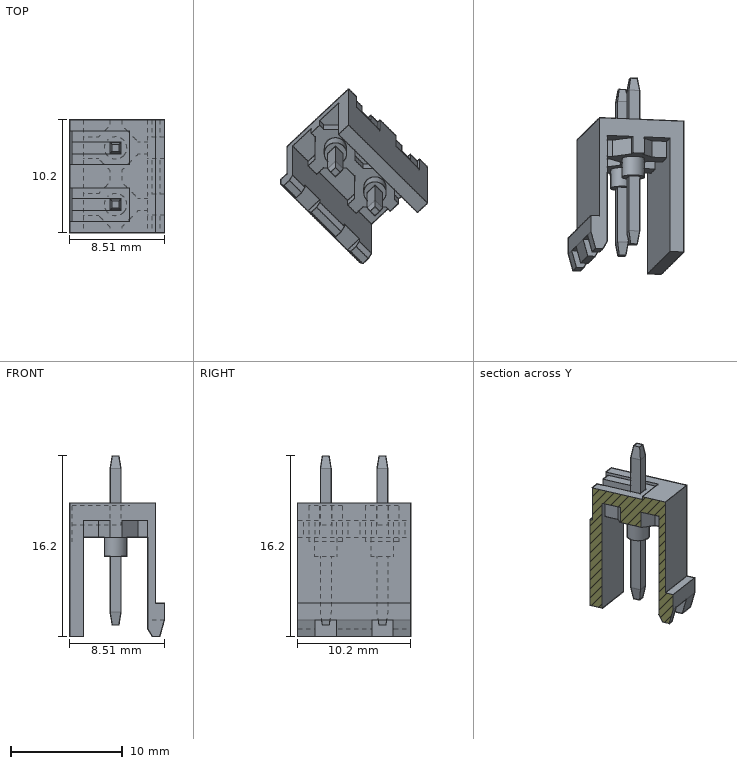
import cadquery as cq

length = 10.15
housing_height = 11.99
housing_width = 7.71
plain_wall = 1.26
latch_wall = 0.71
ceiling_z = 10.38

lip_overhang = 0.8
lip_top_z = 3.0
lip_taper_z = 1.5
lip_taper_run = 0.42
lead_in_width = 0.4
lead_in_height = 0.7
notch_width = 1.91

contact_pitch = length / 2
contact_ys = [length / 2 + side * contact_pitch / 2 for side in (-1, 1)]
pin_x = 4.11
pin_size = 0.99
pin_top_z = 16.2
pin_bottom_z = 1.04
pin_tip_size = 0.62
pin_taper = 1.15

collar_diameter = 2.01
collar_bottom_z = 7.2

support_bottom_z = 8.9
long_rib_width = 1.05
wide_rib_width = 1.95
narrow_rib_width = 1.1

pocket_width = 3.0
side_recess_depth = 0.23
top_recess_depth = 0.26
pocket_end_x = 5.35
pocket_bottom_z = 8.52
groove_width = 1.1
groove_floor_z = 10.01

latch_inner_x = housing_width - latch_wall
lip_x = housing_width + lip_overhang
pin_left_x = pin_x - pin_size / 2
pin_right_x = pin_x + pin_size / 2
long_rib_x = pin_left_x + long_rib_width / 2


def box(x_range, y_range, z_range):
    """Axis-aligned block between the given limits."""
    starts, ends = zip(x_range, y_range, z_range)
    sizes = [end - start for start, end in zip(starts, ends)]
    return cq.Workplane("XY").box(*sizes, centered=False).translate(starts)


def centred(middle, width):
    """Limits of a span of the given width about its middle."""
    return (middle - width / 2, middle + width / 2)


def make_housing():
    """Channel profile, with the latch lip, extruded along Y."""
    profile = [
        (0, 0),
        (0, housing_height),
        (housing_width, housing_height),
        (housing_width, lip_top_z),
        (lip_x, lip_top_z),
        (lip_x, lip_taper_z),
        (lip_x - lip_taper_run, 0),
        (latch_inner_x + lead_in_width, 0),
        (latch_inner_x, lead_in_height),
        (latch_inner_x, ceiling_z),
        (plain_wall, ceiling_z),
        (plain_wall, 0),
    ]
    return cq.Workplane("XZ").polyline(profile).close().extrude(-length)


def make_support(y):
    """Diamond block below the ceiling, with a rib from it to each wall."""
    support_z = (support_bottom_z, ceiling_z)
    reach = contact_pitch / 2
    diamond = (
        cq.Workplane("XY", origin=(long_rib_x, y, support_bottom_z))
        .polyline([(-reach, 0), (0, -reach), (reach, 0), (0, reach)])
        .close()
        .extrude(ceiling_z - support_bottom_z)
    )
    wide_rib = box((plain_wall, long_rib_x), centred(y, wide_rib_width), support_z)
    narrow_rib = box((long_rib_x, latch_inner_x), centred(y, narrow_rib_width), support_z)
    return diamond.union(wide_rib).union(narrow_rib)


def make_long_rib():
    """Rib below the ceiling that joins the supports along the whole length."""
    return box(centred(long_rib_x, long_rib_width), (0, length), (support_bottom_z, ceiling_z))


def make_pocket(y):
    """Shallow recess in the top and -X faces, with a deeper groove up to the pin."""
    pocket_y = centred(y, pocket_width)
    top_recess = box((0, pocket_end_x), pocket_y, (housing_height - top_recess_depth, housing_height))
    side_recess = box((0, side_recess_depth), pocket_y, (pocket_bottom_z, housing_height))
    groove = box((0, pin_right_x), centred(y, groove_width), (groove_floor_z, housing_height))
    return top_recess.union(side_recess).union(groove)


def make_notch(y):
    """Gap through the bottom of the latch wall beside a contact."""
    return box((latch_inner_x, lip_x), centred(y, notch_width), (0, lip_taper_z))


def make_pin_tip(y, base_z, tip_z):
    """Square tip tapering from the pin size to its blunt end."""
    return (
        cq.Workplane("XY", origin=(pin_x, y, base_z))
        .rect(pin_size, pin_size)
        .workplane(offset=tip_z - base_z)
        .rect(pin_tip_size, pin_tip_size)
        .loft(ruled=True)
    )


def make_contact(y):
    """Square pin with two tapered tips and a round collar."""
    shank_bottom_z = pin_bottom_z + pin_taper
    shank_top_z = pin_top_z - pin_taper
    shank = box(centred(pin_x, pin_size), centred(y, pin_size), (shank_bottom_z, shank_top_z))
    collar = (
        cq.Workplane("XY", origin=(pin_x, y, collar_bottom_z))
        .circle(collar_diameter / 2)
        .extrude(support_bottom_z - collar_bottom_z)
    )
    lower_tip = make_pin_tip(y, shank_bottom_z, pin_bottom_z)
    upper_tip = make_pin_tip(y, shank_top_z, pin_top_z)
    return shank.union(lower_tip).union(upper_tip).union(collar)


result = make_housing().union(make_long_rib())
for contact_y in contact_ys:
    result = result.union(make_support(contact_y))
for contact_y in contact_ys:
    result = result.cut(make_pocket(contact_y)).cut(make_notch(contact_y))
    result = result.union(make_contact(contact_y))